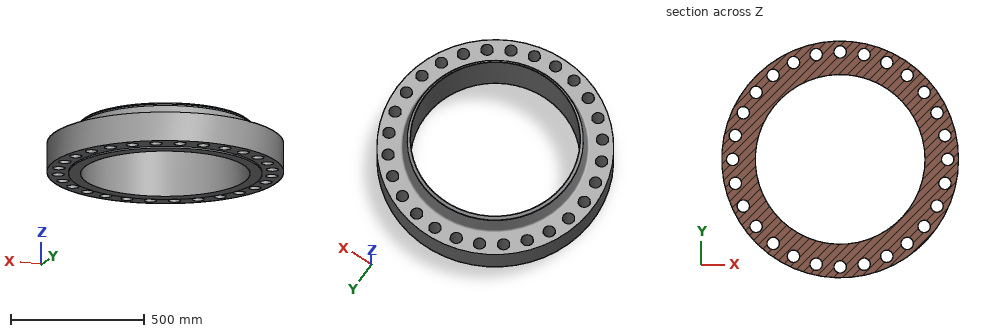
import cadquery as cq
import math

flange_diameter = 889.0
flange_thickness = 111.0
face_diameter = 727.0
face_height = 6.0
overall_height = 187.5
bore_diameter = 635.5

hub_base_diameter = 698.0
hub_fillet_radius = 8.0
weld_end_diameter = 660.0
weld_end_straight = 5.0
weld_land_width = 2.0
bevel_angle = 37.5

bolt_count = 28
bolt_circle_diameter = 806.0
bolt_hole_diameter = 45.0

flange_top = face_height + flange_thickness
land_radius = bore_diameter / 2 + weld_land_width
bevel_width = weld_end_diameter / 2 - land_radius
bevel_height = bevel_width * math.tan(math.radians(bevel_angle))
bevel_bottom = overall_height - bevel_height
taper_top = bevel_bottom - weld_end_straight


def hub_root_fillet():
    """Ends and middle of the arc joining the flange top to the hub taper, as (radius, height)."""
    root_radius = hub_base_diameter / 2
    taper_run = (hub_base_diameter - weld_end_diameter) / 2
    taper_slope = math.atan2(taper_top - flange_top, taper_run)
    tangent_length = hub_fillet_radius * math.tan(taper_slope / 2)
    center_radius = root_radius + tangent_length
    center_height = flange_top + hub_fillet_radius

    def arc_point(turn):
        return (
            center_radius - hub_fillet_radius * math.sin(turn),
            center_height - hub_fillet_radius * math.cos(turn),
        )

    return arc_point(0), arc_point(taper_slope / 2), arc_point(taper_slope)


def flange_body():
    """Revolve the half section of flange, raised face and hub about Z."""
    fillet_start, fillet_middle, fillet_end = hub_root_fillet()
    return (
        cq.Workplane("XZ")
        .moveTo(bore_diameter / 2, 0)
        .lineTo(face_diameter / 2, 0)
        .lineTo(face_diameter / 2, face_height)
        .lineTo(flange_diameter / 2, face_height)
        .lineTo(flange_diameter / 2, flange_top)
        .lineTo(*fillet_start)
        .threePointArc(fillet_middle, fillet_end)
        .lineTo(weld_end_diameter / 2, taper_top)
        .lineTo(weld_end_diameter / 2, bevel_bottom)
        .lineTo(land_radius, overall_height)
        .lineTo(bore_diameter / 2, overall_height)
        .close()
        .revolve(360, (0, 0, 0), (0, 1, 0))
    )


def bolt_holes():
    """Cylinders through the flange, evenly spaced and starting on +X."""
    return (
        cq.Workplane("XY")
        .polarArray(bolt_circle_diameter / 2, 0, 360, bolt_count)
        .circle(bolt_hole_diameter / 2)
        .extrude(overall_height)
    )


result = flange_body().cut(bolt_holes())